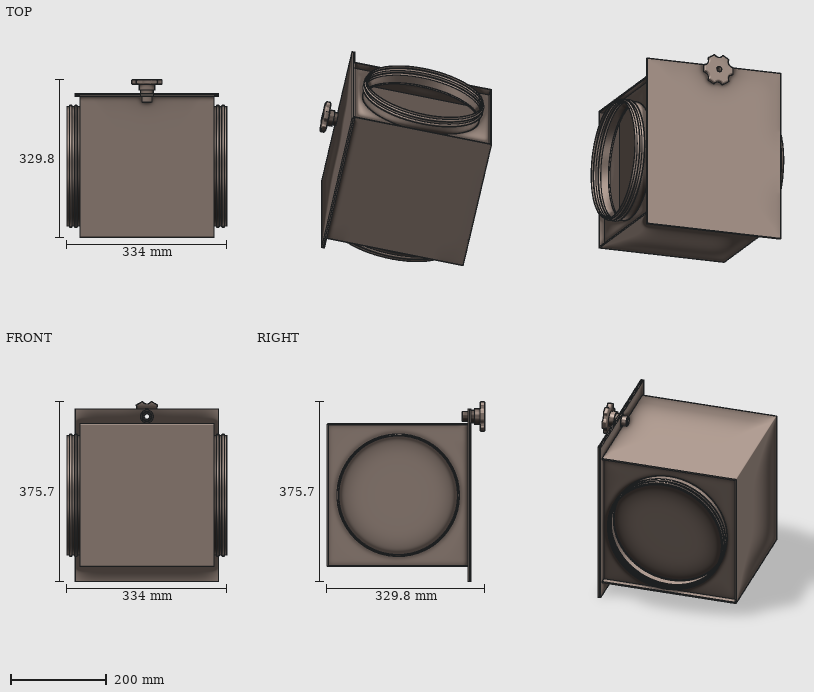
import cadquery as cq
import math


sheet = 3.0
box_width = 280.3
box_height = 298.5
box_depth = 294.5
box_front_y = -148.8
box_back_y = box_front_y + box_depth
bend_radius = 3.0
side_wall_inset = 12.0

plate_width = 299.8
plate_height = 360.3
lid_back_y = box_back_y + 2 * sheet

overall_width = 334.0
collar_radius = 125.0
collar_wall = 1.0
bead_radius = 3.0
bead_offsets = (8.0, 18.8)
collar_end_x = overall_width / 2
side_wall_outer_x = box_width / 2 - side_wall_inset
side_wall_inner_x = side_wall_outer_x - sheet

filter_width = 191.0

knob_drop = 15.8
knob_z = plate_height / 2 - knob_drop
knob_back_y = lid_back_y + 29.3
wheel_thickness = 10.0
wheel_apothem = 32.0
wheel_fillet = 3.0
lobe_corner_radius = 1.0
lobe_count = 6
notch_bottom = 26.3
notch_top = 31.5
hub_radius = 16.5
hub_end = 21.8
bush_radius = 13.5
stud_radius = 10.5
stud_end = 48.0
stud_chamfer = 1.5
bore_radius = 5.5


def block(x_size, y_start, y_end, z_size):
    """Box centred on X and Z that runs from y_start to y_end."""
    return cq.Workplane("XY").box(x_size, y_end - y_start, z_size).translate((0, (y_start + y_end) / 2, 0))


def cylinder_y(radius, y_start, y_end):
    """Cylinder on the knob axis that runs from y_start to y_end."""
    solid = cq.Solid.makeCylinder(radius, y_end - y_start, cq.Vector(0, y_start, knob_z), cq.Vector(0, 1, 0))
    return cq.Workplane(solid)


def make_casing():
    """Bent front, top and bottom sheet with inset side walls and a flange at the back."""
    inner_height = box_height - 2 * sheet
    inner_front_y = box_front_y + sheet
    wrapper = block(box_width, box_front_y, box_back_y, box_height)
    wrapper = wrapper.edges("|X and <Y").fillet(bend_radius)
    wrapper = wrapper.cut(block(box_width, inner_front_y, box_back_y, inner_height))

    side_walls = block(2 * side_wall_outer_x, inner_front_y, box_back_y, inner_height)
    side_walls = side_walls.cut(block(2 * side_wall_inner_x, inner_front_y, box_back_y, inner_height))
    collar_hole = cq.Workplane("YZ").circle(collar_radius - collar_wall).extrude(side_wall_outer_x, both=True)
    side_walls = side_walls.cut(collar_hole)

    flange_back_y = box_back_y + sheet
    flange = block(plate_width, box_back_y, flange_back_y, plate_height)
    flange = flange.cut(block(2 * side_wall_inner_x, box_back_y, flange_back_y, inner_height))
    flange = flange.cut(cylinder_y(bush_radius, box_back_y, flange_back_y))
    return wrapper.union(side_walls).union(flange)


def make_lid():
    """Flat cover plate behind the flange, with a hole for the knob bush."""
    lid = block(plate_width, box_back_y + sheet, lid_back_y, plate_height)
    return lid.cut(cylinder_y(bush_radius, box_back_y + sheet, lid_back_y))


def make_filter():
    """Filter block that fills the casing in height and depth."""
    return block(filter_width, box_front_y + sheet, box_back_y + sheet, box_height - 2 * sheet)


def collar_ring(outer_radius, bulge_radius):
    """Solid of revolution about X: a cylinder with two round beads."""
    profile = cq.Workplane("XY").moveTo(side_wall_outer_x, 0).lineTo(side_wall_outer_x, outer_radius)
    for offset in reversed(bead_offsets):
        bead_x = collar_end_x - offset
        profile = profile.lineTo(bead_x - bulge_radius, outer_radius)
        profile = profile.threePointArc(
            (bead_x, outer_radius + bulge_radius),
            (bead_x + bulge_radius, outer_radius),
        )
    profile = profile.lineTo(collar_end_x, outer_radius).lineTo(collar_end_x, 0).close()
    return profile.revolve(360, (0, 0, 0), (1, 0, 0))


def make_collar(turn):
    """Thin collar with two rolled beads, standing on a side wall and turned about Z to its side."""
    outside = collar_ring(collar_radius, bead_radius)
    inside = collar_ring(collar_radius - collar_wall, bead_radius - collar_wall / 2)
    return outside.cut(inside).rotate((0, 0, 0), (0, 0, 1), turn)


def make_wheel():
    """Hexagonal hand wheel whose corners are cut by round notches, which leaves six flat lobes."""
    wheel_front_y = knob_back_y - wheel_thickness
    corner_angle = math.pi / lobe_count
    corner_radius = wheel_apothem / math.cos(corner_angle)
    wheel = (
        cq.Workplane("XZ", origin=(0, knob_back_y, knob_z))
        .polygon(lobe_count, 2 * corner_radius)
        .extrude(wheel_thickness)
        .rotate((0, 0, knob_z), (0, 1, knob_z), 90)
    )

    half_chord = (corner_radius - notch_top) / math.tan(corner_angle)
    notch_rise = notch_top - notch_bottom
    notch_radius = (half_chord**2 + notch_rise**2) / (2 * notch_rise)
    notch = cylinder_y(notch_radius, wheel_front_y, knob_back_y).translate((0, 0, notch_bottom + notch_radius))
    for index in range(lobe_count):
        wheel = wheel.cut(notch.rotate((0, 0, knob_z), (0, 1, knob_z), index * 360 / lobe_count))
    wheel = wheel.edges("|Y").fillet(lobe_corner_radius)
    return wheel.faces("<Y or >Y").edges().fillet(wheel_fillet)


def make_knob():
    """Wheel, hub, bush and stud in one piece with a bore along the axis."""
    stud_front_y = knob_back_y - stud_end
    wheel_front_y = knob_back_y - wheel_thickness
    stud = cylinder_y(stud_radius, stud_front_y, wheel_front_y).faces("<Y").chamfer(stud_chamfer)
    bush = cylinder_y(bush_radius, box_back_y, wheel_front_y)
    hub = cylinder_y(hub_radius, knob_back_y - hub_end, wheel_front_y)
    knob = make_wheel().union(hub).union(bush).union(stud)
    return knob.cut(cylinder_y(bore_radius, stud_front_y, knob_back_y))


casing = make_casing()
lid = make_lid()
filter_block = make_filter()
collars = [make_collar(turn) for turn in (0, 180)]
knob = make_knob()

result = cq.Compound.makeCompound(
    [
        casing.val(),
        lid.val(),
        filter_block.val(),
        *[collar.val() for collar in collars],
        knob.val(),
    ]
)